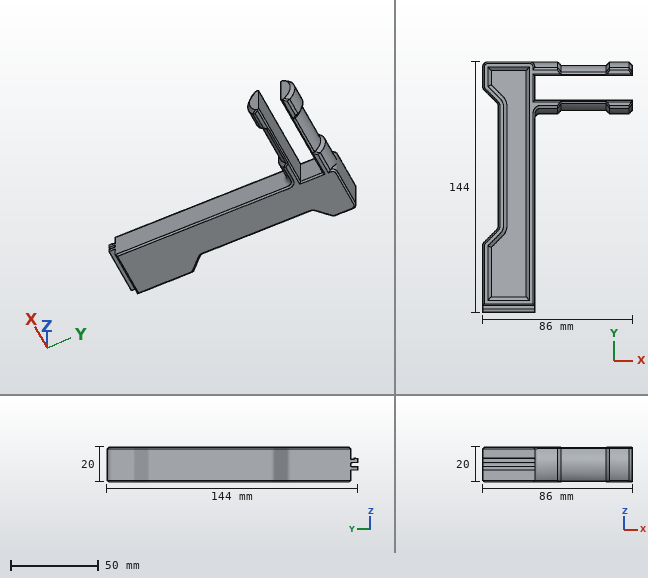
import cadquery as cq
import math

body_width = 30.0
body_length = 140.0
height = 20.0
half_height = height / 2
waist_depth = 9.0
waist_front = 35.5
waist_back = 124.7
corner_radius = 3.0
edge_chamfer = 1.0

rim_width = 3.0
tray_depth = 2.0

peg_radius = 15.0
peg_axis_y = body_length - peg_radius
peg_end = 86.0
groove_depth = 2.0
neck_radius = peg_radius - groove_depth
groove_start = 43.1
groove_end = 73.0
half_slot = 7.0
root_fillet = 2.8

tongue_length = 4.0
lip_outer = 3.2
lip_inner = 1.1
slot_corner = 0.7
bead_rise = 0.55
bead_tip_rise = 0.2
bead_start = 1.85
bead_crest = 2.6

tolerance = 0.01

peg_stations = [
    (body_width - corner_radius, peg_radius),
    (groove_start, peg_radius),
    (groove_start + groove_depth, neck_radius),
    (groove_end - groove_depth, neck_radius),
    (groove_end, peg_radius),
    (peg_end - groove_depth, peg_radius),
    (peg_end, neck_radius),
]


def section_plane(x):
    """Plane across the peg at x, with local axes along Y and Z from the peg axis."""
    return cq.Workplane(cq.Plane((x, peg_axis_y, 0), (0, 1, 0), (1, 0, 0)))


def outer_chamfer_wedge(radius):
    """Triangle that trims the edge between the upper flat and the round flank of an arm."""
    edge_angle = math.asin(half_height / radius)
    flank_angle = edge_angle - 2 * math.asin(edge_chamfer / (2 * radius))
    flat_y = radius * math.cos(edge_angle) - edge_chamfer
    flank_y = radius * math.cos(flank_angle)
    flank_z = radius * math.sin(flank_angle)
    slope = (flank_z - half_height) / (flank_y - flat_y)
    inner = (flat_y - edge_chamfer, half_height - slope * edge_chamfer)
    outer = (flank_y + edge_chamfer, flank_z + slope * edge_chamfer)
    return [inner, outer, (outer[0], inner[1])]


def ruled_wedge(stations):
    """Solid that joins the chamfer triangles at the given stations along the peg."""
    wires = []
    for x, radius in stations:
        points = [cq.Vector(x, peg_axis_y + y, z) for y, z in outer_chamfer_wedge(radius)]
        wires.append(cq.Wire.makePolygon(points, close=True))
    return cq.Workplane(cq.Solid.makeLoft(wires, True))


def mirrored_in_height(shape):
    return shape.union(shape.mirror("XY"))


def make_arm():
    """Arm on the +Y side of the slot, with all its long edges chamfered."""
    start = peg_stations[0][0]
    profile = [(start, 0)] + peg_stations + [(peg_end, 0)]
    shaft = cq.Workplane("XY").polyline(profile).close().revolve(360, (0, 0, 0), (1, 0, 0))
    envelope = (
        cq.Workplane("XY")
        .box(peg_end - start, peg_radius - half_slot, height, centered=(False, False, True))
        .edges("|X and <Y")
        .chamfer(edge_chamfer)
        .translate((start, half_slot, 0))
    )
    arm = shaft.intersect(envelope).translate((0, peg_axis_y, 0))
    for first, second in zip(peg_stations, peg_stations[1:]):
        arm = arm.cut(mirrored_in_height(ruled_wedge([first, second])))
    return arm


def make_bar():
    """Bar with rounded waist and back corners, square at its front end."""
    outline = [
        (0, 0),
        (body_width, 0),
        (body_width, body_length),
        (0, body_length),
        (0, waist_back),
        (waist_depth, waist_back - waist_depth),
        (waist_depth, waist_front + waist_depth),
        (0, waist_front),
    ]
    bar = cq.Workplane("XY").workplane(offset=-half_height).polyline(outline).close().extrude(height)
    behind_front = cq.selectors.BoxSelector(
        (-body_width, waist_front / 2, -height),
        (2 * body_width, 2 * body_length, height),
    )
    return bar.edges("|Z").edges(behind_front).fillet(corner_radius)


def make_front_arm_root():
    """First land of the front arm, before its edges are chamfered."""
    flank_y = math.sqrt(peg_radius**2 - half_height**2)
    start = peg_stations[0][0]
    return (
        section_plane(start)
        .moveTo(-half_slot, -half_height)
        .lineTo(-half_slot, half_height)
        .lineTo(-flank_y, half_height)
        .threePointArc((-peg_radius, 0), (-flank_y, -half_height))
        .close()
        .extrude(groove_start - start)
    )


def make_body(bar):
    """Bar with the filleted root of the front arm, chamfered around its top and bottom faces."""
    body = bar.union(make_front_arm_root())
    root_y = peg_axis_y - peg_radius
    around_root_edge = cq.selectors.BoxSelector(
        (body_width - root_fillet, root_y - root_fillet, -root_fillet),
        (body_width + root_fillet, root_y + 2 * root_fillet, root_fillet),
    )
    body = body.edges(around_root_edge).fillet(root_fillet)
    flat_edges = body.faces(">Z or <Z").edges()
    rim_edges = flat_edges.filter(lambda edge: edge.Center().x < groove_start - tolerance)
    return rim_edges.chamfer(edge_chamfer)


def make_tray(bar):
    """Sloped-wall pocket that follows the bar outline at a constant rim width."""
    outline = bar.faces(">Z").wires().val()
    rim = outline.offset2D(-rim_width)[0]
    floor = outline.offset2D(-rim_width - tray_depth)[0].translate(cq.Vector(0, 0, -tray_depth))
    return cq.Workplane(cq.Solid.makeLoft([floor, rim], True))


def make_tongue():
    """Slotted tongue across the full width of the front end."""
    end = -tongue_length
    profile = (
        cq.Workplane("YZ")
        .moveTo(corner_radius, -lip_outer)
        .lineTo(end, -lip_outer)
        .lineTo(end, -lip_inner)
        .lineTo(-slot_corner, -lip_inner)
        .radiusArc((0, slot_corner - lip_inner), -slot_corner)
        .lineTo(0, lip_inner - slot_corner)
        .radiusArc((-slot_corner, lip_inner), -slot_corner)
        .lineTo(end, lip_inner)
        .lineTo(end, lip_outer + bead_tip_rise)
        .lineTo(-bead_crest, lip_outer + bead_rise)
        .lineTo(-bead_start, lip_outer + bead_rise)
        .lineTo(-bead_start, lip_outer)
        .lineTo(corner_radius, lip_outer)
        .close()
    )
    return profile.extrude(body_width)


bar = make_bar()
back_arm = make_arm()
beyond_root = (
    cq.Workplane("XY")
    .box(peg_end - groove_start, 2 * peg_radius, height, centered=(False, True, True))
    .translate((groove_start, peg_axis_y, 0))
)
front_arm = back_arm.mirror("XZ", (0, peg_axis_y, 0)).intersect(beyond_root)

result = make_body(bar).cut(make_tray(bar)).union(back_arm).union(front_arm).union(make_tongue())